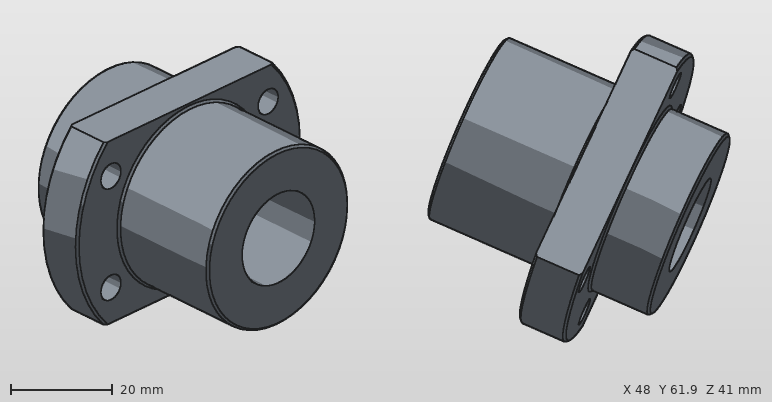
import cadquery as cq
import math

total_length = 48.0
flange_diameter = 61.9
flange_height = 41.0
flange_start = 13.0
flange_thickness = 10.0
body_diameter = 39.0
bore_diameter = 20.0
edge_break = 0.5
hole_diameter = 5.5
bolt_circle_diameter = 50.0
hole_angle = 30.0

body_radius = body_diameter / 2
flange_end = flange_start + flange_thickness


def cylinder(start, length, diameter):
    """Solid cylinder along +X."""
    return cq.Workplane("YZ", origin=(start, 0, 0)).circle(diameter / 2).extrude(length)


def make_flange():
    """Chamfered disc with two flats parallel to the XY plane."""
    disc = cylinder(flange_start, flange_thickness, flange_diameter).edges().chamfer(edge_break)
    flats = cq.Workplane("XY").box(2 * total_length, flange_diameter, flange_height)
    return disc.intersect(flats)


def make_body():
    """Chamfered barrel that flares out where it meets each flange face."""
    root_radius = body_radius + edge_break
    profile = [
        (0, 0),
        (0, body_radius - edge_break),
        (edge_break, body_radius),
        (flange_start - edge_break, body_radius),
        (flange_start, root_radius),
        (flange_end, root_radius),
        (flange_end + edge_break, body_radius),
        (total_length - edge_break, body_radius),
        (total_length, body_radius - edge_break),
        (total_length, 0),
    ]
    return cq.Workplane("XY").polyline(profile).close().revolve(360, (0, 0, 0), (1, 0, 0))


def make_bolt_holes():
    """Four through holes, mirrored about both flange centre planes."""
    hole_y = bolt_circle_diameter / 2 * math.cos(math.radians(hole_angle))
    hole_z = bolt_circle_diameter / 2 * math.sin(math.radians(hole_angle))
    return (
        cq.Workplane("YZ", origin=(flange_start, 0, 0))
        .rect(2 * hole_y, 2 * hole_z, forConstruction=True)
        .vertices()
        .circle(hole_diameter / 2)
        .extrude(flange_thickness)
    )


bore = cylinder(0, total_length, bore_diameter)
result = make_body().union(make_flange()).cut(bore).cut(make_bolt_holes())